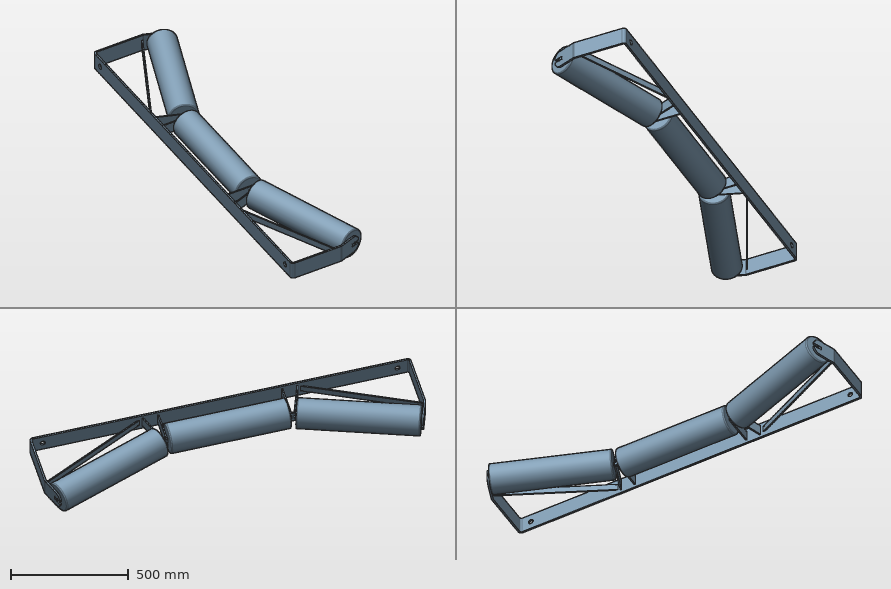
import cadquery as cq
import math


FRAME_LENGTH = 1680.0
OVERALL_HEIGHT = 377.45
TROUGH_ANGLE = 20.0
STRIP_WIDTH = 80.0

ROLLER_DIAMETER = 133.0
ROLLER_LENGTH = 530.0
ROLLER_EDGE_RADIUS = 5.0
MIDDLE_AXIS_HEIGHT = 125.0
WING_CENTRE_X = 552.0
SHAFT_WIDTH = 14.0
SHAFT_HEIGHT = 16.0

FRAME_THICKNESS = 8.0
FRAME_BEND_RADIUS = 15.0
END_GAP = 4.0
LIP_ABOVE_SHAFT = 32.0
LIP_CORNER_RADIUS = 32.0
MOUNTING_HOLE_DIAMETER = 22.0
MOUNTING_HOLE_X = 782.0

BRACKET_THICKNESS = 6.0
BRACKET_WIDTH = 50.0
BRACKET_HEIGHT = 152.0
BRACKET_GAP = 5.0

BRACE_THICKNESS = 6.0
BRACE_WIDTH = 30.0
BRACE_TOP_HEIGHT = 240.0
BRACE_FOOT_X = 355.0

SIN = math.sin(math.radians(TROUGH_ANGLE))
COS = math.cos(math.radians(TROUGH_ANGLE))
TAN = SIN / COS
HALF_FRAME = FRAME_LENGTH / 2
HALF_ROLLER = ROLLER_LENGTH / 2
ROLLER_RADIUS = ROLLER_DIAMETER / 2
WING_CENTRE_HEIGHT = (
    OVERALL_HEIGHT
    - ROLLER_EDGE_RADIUS
    - (HALF_ROLLER - ROLLER_EDGE_RADIUS) * SIN
    - (ROLLER_RADIUS - ROLLER_EDGE_RADIUS) * COS
)
LIP_OUTER = HALF_ROLLER + END_GAP + FRAME_THICKNESS
BRACKET_OUTER = HALF_ROLLER + BRACKET_GAP + BRACKET_THICKNESS


def wing_point(along, across):
    """Point on the right wing, from its roller centre: along the axis (outward) and square to it."""
    return (
        WING_CENTRE_X + along * COS - across * SIN,
        WING_CENTRE_HEIGHT + along * SIN + across * COS,
    )


def to_right_wing(body):
    """Move a body made along X at the origin onto the right wing axis."""
    tilted = body.rotate((0, 0, 0), (0, 0, 1), TROUGH_ANGLE)
    return tilted.translate((WING_CENTRE_X, WING_CENTRE_HEIGHT, 0))


def to_middle(body):
    """Move a body made along X at the origin onto the middle roller axis."""
    return body.translate((0, MIDDLE_AXIS_HEIGHT, 0))


def mirrored(body):
    """Left-hand copy of a right-hand body."""
    return body.mirror("YZ")


def extruded(points, width):
    """Prism of an XY outline, centred on Z = 0."""
    return cq.Workplane("XY").polyline(points).close().extrude(width / 2, both=True)


def make_roller(inner_end, outer_end):
    """Roller along X with its shaft reaching from -inner_end to +outer_end."""
    shell = (
        cq.Workplane("YZ")
        .workplane(offset=-HALF_ROLLER)
        .circle(ROLLER_RADIUS)
        .extrude(ROLLER_LENGTH)
        .edges()
        .fillet(ROLLER_EDGE_RADIUS)
    )
    shaft = cq.Workplane("XY").box(inner_end + outer_end, SHAFT_HEIGHT, SHAFT_WIDTH)
    return shell.union(shaft.translate(((outer_end - inner_end) / 2, 0, 0)))


def make_slot_cutter(start, end):
    """Upward open slot along X, with its flat bottom under the shaft."""
    depth = ROLLER_DIAMETER
    cutter = cq.Workplane("XY").box(end - start, depth, SHAFT_WIDTH)
    return cutter.translate(((start + end) / 2, (depth - SHAFT_HEIGHT) / 2, 0))


def make_lip_corner_waste():
    """Material to remove from the two upper corners of a lip, placed as if the lip were upright."""
    block_height = 2 * LIP_CORNER_RADIUS
    block = cq.Workplane("XY").box(FRAME_THICKNESS + END_GAP, block_height, STRIP_WIDTH)
    rounded = block.edges("|X and >Y").fillet(LIP_CORNER_RADIUS)
    lip_middle = LIP_OUTER - FRAME_THICKNESS / 2
    return block.cut(rounded).translate((lip_middle, LIP_ABOVE_SHAFT - block_height / 2, 0))


def make_frame():
    """Strip bent up at both ends, with slotted lips square to the wing roller axes."""
    lip_inner = LIP_OUTER - FRAME_THICKNESS
    wall_inner = HALF_FRAME - FRAME_THICKNESS

    def bend_point(lip_face, wall_face):
        """Point where a lip face, at its distance along the wing axis, meets a wall face."""
        across = (WING_CENTRE_X + lip_face * COS - wall_face) / SIN
        return wing_point(lip_face, across)

    outer_bends = [(HALF_FRAME, 0), bend_point(LIP_OUTER, HALF_FRAME)]
    inner_bends = [bend_point(lip_inner, wall_inner), (wall_inner, FRAME_THICKNESS)]
    lip_top = [wing_point(LIP_OUTER, LIP_ABOVE_SHAFT), wing_point(lip_inner, LIP_ABOVE_SHAFT)]
    right = outer_bends + lip_top + inner_bends
    left = [(-x, y) for x, y in reversed(right)]
    frame = extruded(right + left, STRIP_WIDTH)

    inner_bend_radius = FRAME_BEND_RADIUS - FRAME_THICKNESS
    for bends, radius in ((outer_bends, FRAME_BEND_RADIUS), (inner_bends, inner_bend_radius)):
        for x, y in bends:
            for side in (-1, 1):
                bend_edge = cq.selectors.NearestToPointSelector((side * x, y, 0))
                frame = frame.edges("|Z").edges(bend_edge).fillet(radius)

    slot = make_slot_cutter(HALF_ROLLER, LIP_OUTER + END_GAP)
    for cutter in (make_lip_corner_waste(), slot):
        placed = to_right_wing(cutter)
        frame = frame.cut(placed).cut(mirrored(placed))

    holes = (
        cq.Workplane("XZ")
        .pushPoints([(-MOUNTING_HOLE_X, 0), (MOUNTING_HOLE_X, 0)])
        .circle(MOUNTING_HOLE_DIAMETER / 2)
        .extrude(-FRAME_THICKNESS)
    )
    return frame.cut(holes)


def make_bracket():
    """Right bracket: upright leg, top flange and a leg square to the wing axis, bent from one strip."""

    def outline(inset):
        """Space between the legs and under the flange, drawn in from the outer faces by inset."""
        face = HALF_ROLLER + BRACKET_GAP + inset
        foot = FRAME_THICKNESS
        top = BRACKET_HEIGHT - inset

        def sloping_leg_x(y):
            return WING_CENTRE_X - face / COS - (y - WING_CENTRE_HEIGHT) * TAN

        return [(face, foot), (face, top), (sloping_leg_x(top), top), (sloping_leg_x(foot), foot)]

    outside = extruded(outline(0), BRACKET_WIDTH)
    inside = extruded(outline(BRACKET_THICKNESS), BRACKET_WIDTH)
    middle_slot = to_middle(make_slot_cutter(HALF_ROLLER, BRACKET_OUTER))
    wing_slot = to_right_wing(make_slot_cutter(-BRACKET_OUTER, -HALF_ROLLER))
    return outside.cut(inside).cut(middle_slot).cut(wing_slot)


def make_brace():
    """Right brace: sloping strip between the inside of the frame's end wall and its base."""
    wall = HALF_FRAME - FRAME_THICKNESS
    foot = FRAME_THICKNESS
    slope = math.atan2(BRACE_TOP_HEIGHT - foot, wall - BRACE_FOOT_X)
    rise = BRACE_THICKNESS / math.cos(slope)
    run = BRACE_THICKNESS / math.sin(slope)
    return extruded(
        [
            (BRACE_FOOT_X, foot),
            (BRACE_FOOT_X + run, foot),
            (wall, BRACE_TOP_HEIGHT - rise),
            (wall, BRACE_TOP_HEIGHT),
        ],
        BRACE_WIDTH,
    )


frame = make_frame()
middle_roller = to_middle(make_roller(BRACKET_OUTER, BRACKET_OUTER))
wing_roller = to_right_wing(make_roller(BRACKET_OUTER, LIP_OUTER))
bracket = make_bracket()
brace = make_brace()

bodies = [frame.val(), middle_roller.val()]
for body in (wing_roller, bracket, brace):
    bodies.append(body.val())
    bodies.append(mirrored(body).val())

result = cq.Compound.makeCompound(bodies)